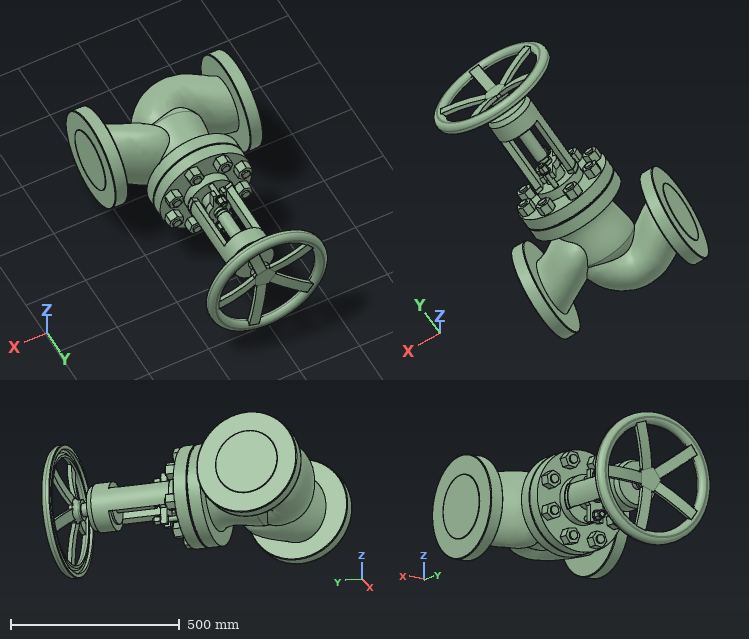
import cadquery as cq
import math


face_x = 249.9
raised_face_height = 2.0
raised_face_radius = 97.0
raised_face_chamfer = 1.2
flange_thickness = 44.0
flange_radius = 157.0
flange_chamfer = 2.5
flange_back_x = face_x - raised_face_height - flange_thickness

bowl_sections = [
    ((-flange_back_x, 86.0), (-flange_back_x, -85.0), 93.0),
    ((-181.0, 79.0), (-188.0, -91.0), 98.0),
    ((-132.0, 51.0), (-150.0, -114.5), 107.0),
    ((-79.0, 20.0), (-61.0, -138.0), 114.0),
    ((-53.5, 39.5), (49.0, -97.0), 114.0),
    ((-49.0, 49.0), (101.0, -12.0), 106.0),
    ((-49.0, 66.0), (95.0, 41.0), 90.5),
]

branch_sections = [
    ((flange_back_x, 85.0), (flange_back_x, -90.0), 104.5),
    ((185.0, 89.0), (185.0, -78.0), 108.0),
    ((150.0, 109.0), (150.0, -56.0), 113.0),
    ((99.0, 137.0), (99.0, -28.0), 117.0),
    ((58.0, 143.0), (58.0, 3.0), 113.0),
    ((29.0, 130.0), (29.0, 34.5), 87.0),
]

neck_top_radius = 111.0
neck_side = [(100.0, 160.5), (97.0, 132.0), (104.5, 78.0), (109.0, 37.0)]
neck_bottom_shoulder = (78.0, -12.0)
neck_bottom_y = -33.0

joint_bottom_y = 179.5
joint_top_y = 263.5
joint_radius = 155.0
joint_gap_y = 221.5
joint_gap_width = 4.0
joint_gap_depth = 6.0

bolt_count = 8
bolt_circle_radius = 125.0
bolt_nut_flats = 44.5
bolt_nut_height = 30.5
bolt_radius = 13.0
bolt_tip_height = 36.0

yoke_radius = 74.0
yoke_base_top_y = 295.0
column_inner_x = 46.0
column_half_width = 36.0
column_side_angle = 30
foot_rim = 2.5
foot_bottom_y = 291.5
foot_top_y = 306.0
head_bottom_y = 498.0
head_top_y = 567.0
head_chamfer_height = 16.5
head_chamfer_width = 7.0
boss_radius = 54.0
boss_height = 6.0

stem_radius = 20.5
gland_radius = 31.0
gland_flange_bottom_y = 329.0
gland_flange_thickness = 20.5
gland_flange_radius = 37.0
gland_ear_end_z = 80.0
gland_ear_half_width = 22.0
gland_slot_half_width = 10.0
gland_collar_height = 10.0
waist_radius = 16.0
waist_top_y = 373.0
gland_stud_z = 60.0
gland_stud_radius = 8.0
gland_nut_flats = 24.0
gland_nut_height = 25.0
gland_tip_height = 30.0
gland_washer_radius = 16.5
gland_washer_height = 4.0

wheel_radius = 200.0
wheel_top_y = 666.0
wheel_bottom_y = 636.0
rim_edge_taper = 2.5
rim_inner_radius = 162.0
rim_round = 17.0
rim_groove_outer = 186.0
rim_groove_inner = 176.0
rim_lip_radius = 170.0
rim_lip_drop = 10.0
spoke_count = 5
spoke_width = 35.0
spoke_thickness = 14.0
spoke_rim_y = 650.0
spoke_middle = (81.0, 635.0)
spoke_hub_y = 619.0
hub_radius = 31.0
hub_bottom_y = 600.0
hub_flare_start_y = 606.0
hub_flare_radius = 39.5
hub_flare_end_y = 622.5


def disc(radius, y_start, y_end, x=0, z=0):
    """Cylinder along Y between two heights."""
    return cq.Workplane(cq.Solid.makeCylinder(
        radius, y_end - y_start, cq.Vector(x, y_start, z), cq.Vector(0, 1, 0)))


def block(x_range, y_range, z_range):
    """Box between the given limits."""
    (x0, x1), (y0, y1), (z0, z1) = x_range, y_range, z_range
    return cq.Workplane(cq.Solid.makeBox(x1 - x0, y1 - y0, z1 - z0, cq.Vector(x0, y0, z0)))


def nut_and_stud(nut_flats, nut_height, stud_radius, tip_height, seat_y, x, z, stud_start_y):
    """Hexagon nut, one corner pointing away from the stem, on a stud that stands proud of it."""
    seat = cq.Plane(origin=(x, seat_y, z), xDir=(x, 0, z), normal=(0, 1, 0))
    across_corners = nut_flats / math.cos(math.pi / 6)
    nut = cq.Workplane(seat).polygon(6, across_corners).extrude(nut_height)
    return nut.union(disc(stud_radius, stud_start_y, seat_y + tip_height, x, z))


def oval_loft(sections):
    """Loft through ellipses given by two opposite edge points in XY and a half depth in Z."""
    wires = []
    for (x0, y0), (x1, y1), half_depth in sections:
        across = cq.Vector(x1 - x0, y1 - y0, 0)
        centre = cq.Vector((x0 + x1) / 2, (y0 + y1) / 2, 0)
        normal = across.cross(cq.Vector(0, 0, 1))
        wires.append(cq.Wire.makeEllipse(across.Length / 2, half_depth, centre, normal, across))
    return cq.Workplane(cq.Solid.makeLoft(wires))


def pipe_flange(side):
    """Blank flange with a raised face; side is -1 or +1."""
    plane = cq.Plane(origin=(side * flange_back_x, 0, 0), xDir=(0, 1, 0), normal=(side, 0, 0))
    flange = cq.Workplane(plane).circle(flange_radius).extrude(flange_thickness)
    flange = flange.edges().chamfer(flange_chamfer)
    raised = cq.Workplane(plane).workplane(offset=flange_thickness)
    raised = raised.circle(raised_face_radius).extrude(raised_face_height)
    return flange.union(raised.faces(cq.selectors.DirectionMinMaxSelector(
        cq.Vector(side, 0, 0))).chamfer(raised_face_chamfer))


def neck():
    """Waisted neck under the bonnet joint with a rounded bottom inside the bowl."""
    return (
        cq.Workplane("XY")
        .moveTo(0, joint_bottom_y)
        .lineTo(neck_top_radius, joint_bottom_y)
        .spline(neck_side, includeCurrent=True)
        .threePointArc(neck_bottom_shoulder, (0, neck_bottom_y))
        .close()
        .revolve(360, (0, 0, 0), (0, 1, 0))
    )


def body():
    """Inlet bowl, outlet branch and neck."""
    return neck().union(oval_loft(bowl_sections)).union(oval_loft(branch_sections))


def bonnet_joint():
    """Body and bonnet flanges with the gap between them and the ring of studs."""
    joint = disc(joint_radius, joint_bottom_y, joint_top_y)
    gap_bottom = joint_gap_y - joint_gap_width / 2
    gap = disc(joint_radius, gap_bottom, gap_bottom + joint_gap_width)
    gap = gap.cut(disc(joint_radius - joint_gap_depth, gap_bottom, gap_bottom + joint_gap_width))
    joint = joint.cut(gap)
    for i in range(bolt_count):
        angle = 2 * math.pi * (i + 0.5) / bolt_count
        joint = joint.union(nut_and_stud(
            bolt_nut_flats, bolt_nut_height, bolt_radius, bolt_tip_height, joint_top_y,
            bolt_circle_radius * math.cos(angle), bolt_circle_radius * math.sin(angle),
            joint_top_y))
    return joint


def column_pair(radius, half_width, y_start, y_end):
    """Two opposite columns, round outside and narrowing towards the stem."""
    edge_x = math.sqrt(radius ** 2 - half_width ** 2)
    inner_half_width = half_width - (edge_x - column_inner_x) * math.tan(
        math.radians(column_side_angle))
    section = [
        (column_inner_x, inner_half_width),
        (edge_x, half_width),
        (radius, half_width),
        (radius, -half_width),
        (edge_x, -half_width),
        (column_inner_x, -inner_half_width),
    ]
    base = cq.Plane(origin=(0, y_start, 0), xDir=(1, 0, 0), normal=(0, 1, 0))
    wedge = cq.Workplane(base).polyline(section).close().extrude(y_end - y_start)
    pair = wedge.union(wedge.mirror("YZ"))
    return pair.intersect(disc(radius, y_start, y_end))


def yoke():
    """Base, two columns and the chamfered head."""
    head = disc(yoke_radius, head_bottom_y, head_top_y)
    head = head.faces(">Y").edges().chamfer(head_chamfer_height, head_chamfer_width)
    return (
        disc(yoke_radius, joint_top_y, yoke_base_top_y)
        .union(column_pair(yoke_radius, column_half_width, yoke_base_top_y, head_bottom_y))
        .union(column_pair(yoke_radius + foot_rim, column_half_width + foot_rim,
                           foot_bottom_y, foot_top_y))
        .union(disc(boss_radius, head_bottom_y - boss_height, head_bottom_y))
        .union(head)
    )


def gland_flange():
    """Round flange with two ears, each slotted from its end for a stud."""
    top = gland_flange_bottom_y + gland_flange_thickness
    heights = (gland_flange_bottom_y, top)
    flange = disc(gland_flange_radius, *heights).union(block(
        (-gland_ear_half_width, gland_ear_half_width), heights,
        (-gland_ear_end_z, gland_ear_end_z)))
    slot_start_z = gland_stud_z - gland_slot_half_width
    for z_limits in ((slot_start_z, gland_ear_end_z), (-gland_ear_end_z, -slot_start_z)):
        flange = flange.cut(block(
            (-gland_slot_half_width, gland_slot_half_width), heights, z_limits))
    return flange


def stem_and_gland():
    """Stem, gland follower, its flange and the two gland studs."""
    gland_top = gland_flange_bottom_y + gland_flange_thickness
    parts = disc(gland_radius, yoke_base_top_y, gland_flange_bottom_y)
    parts = parts.union(gland_flange())
    parts = parts.union(disc(stem_radius, gland_top, gland_top + gland_collar_height))
    parts = parts.union(disc(waist_radius, gland_top, waist_top_y))
    parts = parts.union(disc(stem_radius, waist_top_y, hub_bottom_y))
    for stud_z in (-gland_stud_z, gland_stud_z):
        parts = parts.union(nut_and_stud(
            gland_nut_flats, gland_nut_height, gland_stud_radius, gland_tip_height,
            gland_top, 0, stud_z, joint_top_y))
        parts = parts.union(disc(
            gland_washer_radius, gland_top, gland_top + gland_washer_height, z=stud_z))
    return parts


def handwheel():
    """Rim with a grooved underside, five dished spokes and the hub."""
    side_y = wheel_top_y - rim_round
    bulge = rim_round * math.sin(math.pi / 4)
    outer_centre = wheel_radius - rim_round
    inner_centre = rim_inner_radius + rim_round
    lip_y = wheel_bottom_y + rim_lip_drop / 2
    groove_y = wheel_bottom_y + rim_lip_drop
    rim = (
        cq.Workplane("XY")
        .moveTo(rim_groove_outer, wheel_bottom_y)
        .lineTo(wheel_radius - rim_edge_taper, wheel_bottom_y)
        .lineTo(wheel_radius, wheel_bottom_y + rim_edge_taper)
        .lineTo(wheel_radius, side_y)
        .threePointArc((outer_centre + bulge, side_y + bulge), (outer_centre, wheel_top_y))
        .lineTo(inner_centre, wheel_top_y)
        .threePointArc((inner_centre - bulge, side_y + bulge), (rim_inner_radius, side_y))
        .lineTo(rim_inner_radius, lip_y)
        .lineTo(rim_lip_radius, lip_y)
        .lineTo(rim_groove_inner, groove_y)
        .lineTo(rim_groove_outer, groove_y)
        .close()
        .revolve(360, (0, 0, 0), (0, 1, 0))
    )
    middle_radius, middle_y = spoke_middle
    hub_top_y = spoke_hub_y + spoke_thickness
    spoke = (
        cq.Workplane("XY")
        .moveTo(hub_radius, spoke_hub_y)
        .threePointArc(spoke_middle, (rim_lip_radius, spoke_rim_y))
        .lineTo(rim_lip_radius, spoke_rim_y + spoke_thickness)
        .threePointArc((middle_radius, middle_y + spoke_thickness), (hub_radius, hub_top_y))
        .lineTo(0, hub_top_y)
        .lineTo(0, spoke_hub_y)
        .close()
        .extrude(spoke_width / 2, both=True)
    )
    hub = (
        cq.Workplane("XY")
        .moveTo(0, hub_bottom_y)
        .lineTo(hub_radius, hub_bottom_y)
        .lineTo(hub_radius, hub_flare_start_y)
        .tangentArcPoint((hub_flare_radius, hub_flare_end_y), relative=False)
        .lineTo(hub_flare_radius, hub_top_y)
        .lineTo(0, hub_top_y)
        .close()
        .revolve(360, (0, 0, 0), (0, 1, 0))
    )
    wheel = rim.union(hub)
    for i in range(spoke_count):
        wheel = wheel.union(spoke.rotate((0, 0, 0), (0, 1, 0), 360 * i / spoke_count))
    return wheel


result = (
    body()
    .union(pipe_flange(-1))
    .union(pipe_flange(1))
    .union(bonnet_joint())
    .union(yoke())
    .union(stem_and_gland())
    .union(handwheel())
)